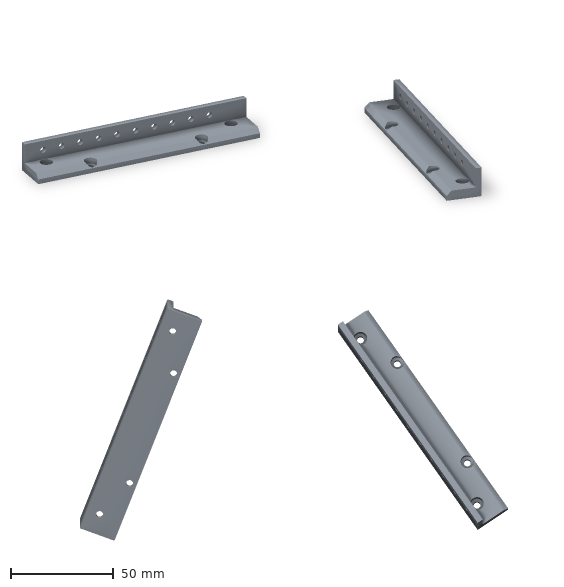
import cadquery as cq

length = 120.0
base_width = 18.0
base_thickness = 5.0
wall_height = 15.0
wall_thickness = 3.0

bevel = 2.5

screw_diameter = 3.4
counterbore_diameter = 6.5
counterbore_depth = 3.0
inner_screw_x = 6.5
outer_screw_x = 14.5
inner_screw_offset = 50.0
outer_screw_offset = 30.0

wall_hole_diameter = 3.0
wall_hole_count = 10
wall_hole_pitch = 10.0
wall_hole_first_y = -50.0
wall_hole_z = (base_thickness + wall_height) / 2


def make_rail():
    """L-shaped profile with a bevelled base edge, extruded along Y."""
    return (
        cq.Workplane("XZ")
        .moveTo(0, 0)
        .lineTo(base_width, 0)
        .lineTo(base_width, base_thickness - bevel)
        .lineTo(base_width - bevel, base_thickness)
        .lineTo(wall_thickness, base_thickness)
        .lineTo(wall_thickness, wall_height)
        .lineTo(0, wall_height)
        .close()
        .extrude(length / 2, both=True)
    )


def cut_screw_holes(body):
    """Counterbored holes in mirrored pairs, sunk from the top of the base."""
    centres = []
    for side in (-1, 1):
        centres.append((inner_screw_x, side * inner_screw_offset))
        centres.append((outer_screw_x, side * outer_screw_offset))
    shanks = (
        cq.Workplane("XY")
        .pushPoints(centres)
        .circle(screw_diameter / 2)
        .extrude(base_thickness)
    )
    counterbores = (
        cq.Workplane("XY", origin=(0, 0, base_thickness - counterbore_depth))
        .pushPoints(centres)
        .circle(counterbore_diameter / 2)
        .extrude(counterbore_depth)
    )
    return body.cut(shanks).cut(counterbores)


def cut_wall_holes(body):
    """Evenly spaced holes through the upright wall."""
    centres = [
        (wall_hole_first_y + index * wall_hole_pitch, wall_hole_z)
        for index in range(wall_hole_count)
    ]
    holes = (
        cq.Workplane("YZ")
        .pushPoints(centres)
        .circle(wall_hole_diameter / 2)
        .extrude(wall_thickness)
    )
    return body.cut(holes)


rail = make_rail()
rail = cut_screw_holes(rail)
result = cut_wall_holes(rail)